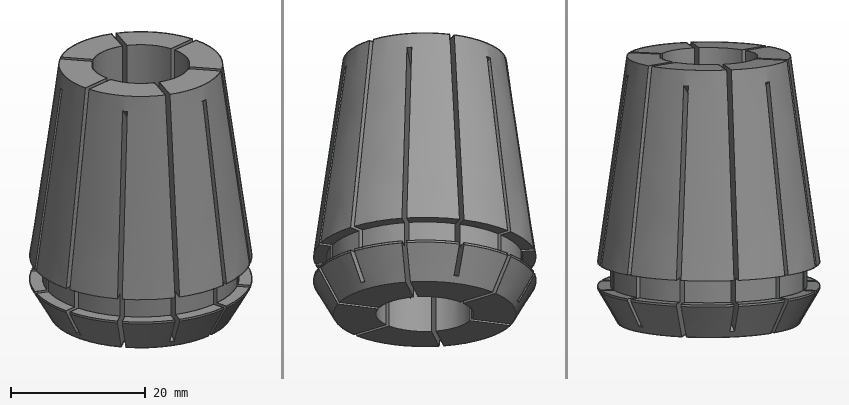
import cadquery as cq
import math


length = 40.0
outer_diameter = 33.0
bore_diameter = 14.5

groove_diameter = 29.2
groove_bottom = 5.45
groove_top = 9.05
collar_land = 0.3
collar_angle = 30.0
taper_angle = 8.0

slit_width = 0.7
slits_per_end = 6
saw_radius = 20.0
top_slit_saw = (21.2, 19.7)
bottom_slit_saw = (21.95, 20.05)
end_clearance = 2.0

outer_radius = outer_diameter / 2
groove_radius = groove_diameter / 2
bore_radius = bore_diameter / 2
land_bottom = groove_bottom - collar_land
bottom_radius = outer_radius - land_bottom * math.tan(math.radians(collar_angle))
top_radius = outer_radius - (length - groove_top) * math.tan(math.radians(taper_angle))
slit_pitch = 360.0 / slits_per_end


def make_body():
    """Revolve the half section of the unslit collet about Z."""
    half_section = [
        (bore_radius, 0),
        (bottom_radius, 0),
        (outer_radius, land_bottom),
        (outer_radius, groove_bottom),
        (groove_radius, groove_bottom),
        (groove_radius, groove_top),
        (outer_radius, groove_top),
        (top_radius, length),
        (bore_radius, length),
    ]
    return cq.Workplane("XZ").polyline(half_section).close().revolve(360, (0, 0), (0, 1))


def make_slit(saw_centre, exit_height):
    """Slit along +X: rounded at one end of the collet, running out at exit_height."""
    saw_offset, saw_height = saw_centre
    inner = saw_offset - saw_radius
    outer = saw_offset + saw_radius
    rounded_end = saw_height + math.copysign(saw_radius, saw_height - exit_height)
    return (
        cq.Workplane("XZ")
        .moveTo(inner, saw_height)
        .threePointArc((saw_offset, rounded_end), (outer, saw_height))
        .lineTo(outer, exit_height)
        .lineTo(inner, exit_height)
        .close()
        .extrude(slit_width / 2, both=True)
    )


def cut_slits(body, saw_centre, exit_height, first_angle):
    """Cut one ring of equally spaced slits."""
    slit = make_slit(saw_centre, exit_height)
    for index in range(slits_per_end):
        angle = first_angle + index * slit_pitch
        body = body.cut(slit.rotate((0, 0, 0), (0, 0, 1), angle))
    return body


result = make_body()
result = cut_slits(result, top_slit_saw, length + end_clearance, 0)
result = cut_slits(result, bottom_slit_saw, -end_clearance, slit_pitch / 2)